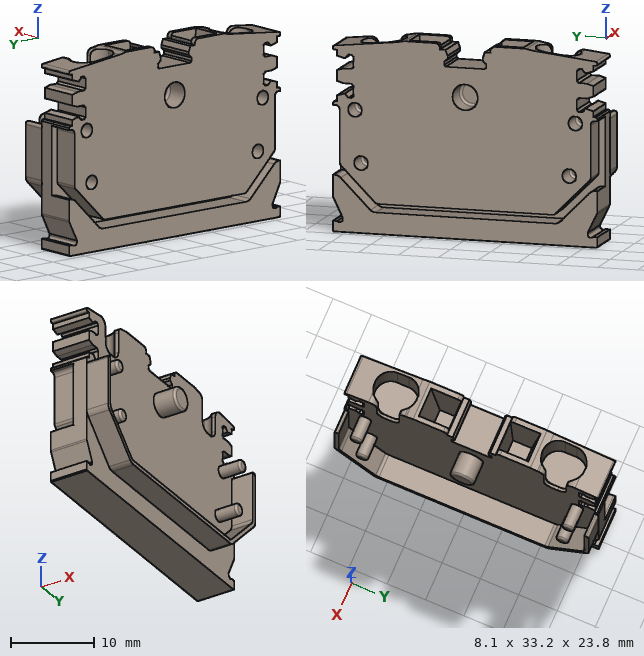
import cadquery as cq
import math


half_length = 16.6
height = 23.8
housing_thickness = 5.1
overall_thickness = 8.1
ridge_depth = overall_thickness - housing_thickness

foot_height = 1.3
foot_chamfer = 0.12
foot_relief_start = 16.05
foot_throat = 15.36
foot_throat_low = 1.55
foot_throat_high = 1.75
foot_relief_bottom = (15.7, 1.2)
foot_slope_top = 4.3
foot_slope_radius = 0.5

tooth_mid_height = 19.1
end_face = 16.08
groove_floor = 14.0
groove_chamfer = 0.27
groove_far_side = 2.64
tooth_half = 0.91
tooth_tip_half = 0.66
tooth_bevel_end = 15.25
hook_start = 14.64
hook_tip = 15.1
hook_depth = 0.49
hook_bevel = 0.21
shoulder_top = 15.95
shoulder_chamfer = 0.2
lip_bottom = 22.24
lip_top = 22.76
lip_radius = (lip_top - lip_bottom) / 2

roof_slope_end = 8.55
roof_slope_end_height = 23.62
roof_flat_start = 7.65
roof_flat_end = 3.7
roof_edge_radius = 0.53
ledge_height = 23.05
rail_floor = 21.0
rail_outline = [
    (2.45, ledge_height),
    (2.2, 22.35),
    (2.2, 22.0),
    (2.63, 21.6),
    (2.63, 21.2),
    (2.43, rail_floor),
]

recess_depth = 3.2
recess_bottom = 2.65
recess_outer_width = 11.63
recess_outer_top = 6.93
recess_floor_top = 3.71
recess_inner_width = 11.16
recess_inner_face = 15.75
recess_top = 15.47
recess_outer_radius = 0.95
recess_inner_radius = 0.5

ridge_half_length = 16.57
flank_angle = 45
ridge_bottom = 2.72
ridge_top = 15.2
ridge_bend_height = 8.0
ridge_thickness = 0.55
ridge_bend_radius = 1.1
ridge_tip_radius = 0.35
ridge_inner_bend_radius = 1.1
ridge_inner_base_radius = 0.6

small_peg_places = [(13.82, 15.04), (13.06, 8.57)]
small_peg_radius = 0.78
small_hole_radius = 0.86
center_peg_height = 17.4
center_peg_radius = 1.55
center_hole_radius = 1.58
tip_rounding = 0.3

well_center = 10.95
well_middle = 2.54
well_width = 4.25
well_length = 5.5
well_radius = 2.0
channel_center = 10.9
channel_half_width = 1.46
channel_floor = 18.85
channel_floor_radius = 1.2
channel_inner_lip_radius = 0.78
channel_outer_lip_radius = 1.0

funnel_start = 0.72
funnel_width = 3.73
funnel_floor = 15.7
funnel_inner_top = 3.2
funnel_inner_floor = 3.53
funnel_outer_top = 7.14
funnel_outer_floor = 6.0

block_bottom = funnel_floor
block_height = channel_floor - block_bottom

overshoot = 1.0


def mirrored(points):
    """Close a half outline with its own mirror image about Y = 0."""
    return points + [(-y, z) for y, z in reversed(points)]


def prism(points, start, length):
    """Extrude a (Y, Z) outline along X from the given start."""
    return cq.Workplane("YZ", origin=(start, 0, 0)).polyline(points).close().extrude(length)


def round_corners(body, corners, radius):
    """Round the X-direction edges at the given (Y, Z) corners and at their mirror images."""
    for y, z in corners:
        for side in (1, -1):
            near = cq.selectors.NearestToPointSelector((body.val().Center().x, side * y, z))
            body = body.edges("|X").edges(near).fillet(radius)
    return body


def groove_points(side):
    """End groove as (half length, height) points from tooth to outer shoulder; side is +1 above, -1 below."""
    steps = [
        (end_face, tooth_tip_half),
        (tooth_bevel_end, tooth_half),
        (groove_floor + groove_chamfer, tooth_half),
        (groove_floor, tooth_half + groove_chamfer),
        (groove_floor, groove_far_side - groove_chamfer),
        (groove_floor + groove_chamfer, groove_far_side),
        (hook_start, groove_far_side),
        (hook_tip, groove_far_side - hook_depth),
        (end_face, groove_far_side - hook_bevel),
    ]
    return [(y, tooth_mid_height + side * rise) for y, rise in steps]


def housing_blank():
    roof_edge = roof_flat_end - roof_edge_radius
    half = (
        cq.Workplane("YZ")
        .lineTo(half_length - foot_chamfer, 0)
        .lineTo(half_length, foot_chamfer)
        .lineTo(half_length, foot_height)
        .lineTo(foot_relief_start, foot_height)
        .threePointArc(foot_relief_bottom, (foot_throat, foot_throat_low))
        .lineTo(foot_throat, foot_throat_high)
        .lineTo(half_length, foot_slope_top)
        .lineTo(half_length, shoulder_top - shoulder_chamfer)
        .lineTo(half_length - shoulder_chamfer, shoulder_top)
        .lineTo(end_face, shoulder_top)
    )
    for point in groove_points(-1)[::-1] + groove_points(1):
        half = half.lineTo(*point)
    half = (
        half.lineTo(end_face, lip_bottom)
        .lineTo(half_length - lip_radius, lip_bottom)
        .threePointArc((half_length, lip_bottom + lip_radius), (half_length - lip_radius, lip_top))
        .lineTo(roof_slope_end, roof_slope_end_height)
        .lineTo(roof_flat_start, height)
        .lineTo(roof_flat_end, height)
        .radiusArc((roof_edge, height - roof_edge_radius), -roof_edge_radius)
        .lineTo(roof_edge, ledge_height)
    )
    for point in rail_outline:
        half = half.lineTo(*point)
    half = half.lineTo(0, rail_floor).close().extrude(housing_thickness)
    body = half.union(half.mirror("XZ"))
    return round_corners(body, [(half_length, foot_slope_top)], foot_slope_radius)


def recess():
    outside = half_length + overshoot
    outer_corners = [
        (recess_outer_width + recess_outer_top - recess_bottom, recess_outer_top),
        (recess_outer_width, recess_bottom),
    ]
    inner_corners = [
        (recess_inner_width, recess_floor_top),
        (recess_inner_face, recess_floor_top + recess_inner_face - recess_inner_width),
        (recess_inner_face, recess_top),
    ]
    lower = mirrored([(outside, recess_outer_top)] + outer_corners)
    upper = mirrored([(outside, recess_top)] + inner_corners[::-1])
    body = prism(lower + upper[::-1], 0, recess_depth)
    body = round_corners(body, outer_corners, recess_outer_radius)
    return round_corners(body, inner_corners, recess_inner_radius)


def ridge():
    bend_shift = ridge_thickness * math.tan(math.radians(flank_angle / 2))
    outer_tip = (ridge_half_length, ridge_top)
    inner_face = ridge_half_length - ridge_thickness
    inner_floor = ridge_bottom + ridge_thickness
    outer_bend = (ridge_half_length, ridge_bend_height)
    outer_base = (ridge_half_length - (ridge_bend_height - ridge_bottom), ridge_bottom)
    inner_bend = (inner_face, ridge_bend_height + bend_shift)
    inner_base = (outer_base[0] - bend_shift, inner_floor)
    outer = mirrored([outer_tip, outer_bend, outer_base])
    inner = mirrored([(inner_face, ridge_top), inner_bend, inner_base])
    body = prism(outer + inner[::-1], housing_thickness, ridge_depth)
    body = round_corners(body, [outer_bend, outer_base], ridge_bend_radius)
    body = round_corners(body, [inner_bend], ridge_inner_bend_radius)
    body = round_corners(body, [inner_base], ridge_inner_base_radius)
    return round_corners(body, [outer_tip], ridge_tip_radius)


def round_pegs(start, small_radius, center_radius):
    """Five pegs along +X with rounded tips, as long as the ridge is deep."""
    places = [(side * y, z) for y, z in small_peg_places for side in (1, -1)]
    plane = cq.Workplane("YZ", origin=(start, 0, 0))
    small = plane.pushPoints(places).circle(small_radius).extrude(ridge_depth)
    center = plane.center(0, center_peg_height).circle(center_radius).extrude(ridge_depth)
    return small.add(center).faces(">X").edges().fillet(tip_rounding)


def well_prism(side, bottom, length):
    """Upright prism with the rounded outline of a screw well."""
    return (
        cq.Workplane("XY", origin=(well_middle, side * well_center, bottom))
        .rect(well_width, well_length)
        .extrude(length)
        .edges("|Z")
        .fillet(well_radius)
    )


def cut_channel(body, side):
    """Open the +X wall of a screw well with a round-bottomed channel and rounded lips."""
    depth = housing_thickness - well_middle
    channel = (
        cq.Workplane("XY", origin=(well_middle, side * channel_center, channel_floor))
        .box(depth, 2 * channel_half_width, height, centered=(False, True, False))
        .edges("|X and <Z")
        .fillet(channel_floor_radius)
    )
    body = body.cut(channel)
    slope = (roof_slope_end_height - lip_top) / (half_length - lip_radius - roof_slope_end)
    for direction, radius in ((-1, channel_inner_lip_radius), (1, channel_outer_lip_radius)):
        lip = channel_center + direction * channel_half_width
        lip_height = roof_slope_end_height - slope * (lip - roof_slope_end)
        middle = (well_middle + depth / 2, side * lip, lip_height)
        body = body.edges("|X").edges(cq.selectors.NearestToPointSelector(middle)).fillet(radius)
    return body


def funnel(side):
    """Wire funnel whose two end walls lean inwards down to a flat floor."""
    inner_lean = (funnel_inner_floor - funnel_inner_top) / (height - funnel_floor)
    outer_lean = (funnel_outer_top - funnel_outer_floor) / (height - funnel_floor)
    outline = [
        (side * funnel_inner_floor, funnel_floor),
        (side * (funnel_inner_top - overshoot * inner_lean), height + overshoot),
        (side * (funnel_outer_top + overshoot * outer_lean), height + overshoot),
        (side * funnel_outer_floor, funnel_floor),
    ]
    return prism(outline, funnel_start, funnel_width)


def make_housing():
    body = housing_blank().cut(recess()).union(ridge())
    for side in (1, -1):
        body = cut_channel(body, side)
        body = body.cut(well_prism(side, block_bottom, height))
        body = body.cut(funnel(side))
    for peg in round_pegs(housing_thickness, small_peg_radius, center_peg_radius).solids().vals():
        body = body.union(cq.Workplane(peg))
    for hole in round_pegs(0, small_hole_radius, center_hole_radius).solids().vals():
        body = body.cut(cq.Workplane(hole))
    return body


def make_screw_block(side):
    return well_prism(side, block_bottom, block_height)


housing = make_housing()
screw_blocks = [make_screw_block(side) for side in (1, -1)]

result = cq.Compound.makeCompound([housing.val(), *[block.val() for block in screw_blocks]])